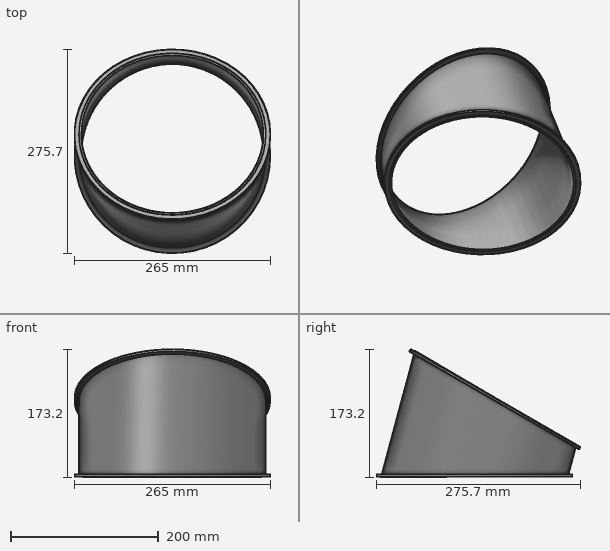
import cadquery as cq
import math

overall_depth = 275.7
flange_diameter = 265.0
flange_thickness = 3.5
tube_diameter = 252.5
wall = 3.3
bend_angle = 30.0
end_overtilt = 0.36

lean = bend_angle / 2
flange_radius = flange_diameter / 2
upper_y = overall_depth - flange_radius * (1 + math.cos(math.radians(bend_angle)))
upper_z = upper_y / math.tan(math.radians(lean))
axis_length = math.hypot(upper_y, upper_z)
stock_overrun = flange_diameter / 2


def plane_at(y, z, tilt):
    """Plane centred at (0, y, z) whose normal leans from +Z toward +Y by tilt degrees."""
    angle = math.radians(tilt)
    return cq.Plane(origin=(0, y, z), xDir=(1, 0, 0), normal=(0, math.sin(angle), math.cos(angle)))


base_plane = plane_at(0, 0, 0)
upper_plane = plane_at(upper_y, upper_z, bend_angle)


def leaning_cylinder(diameter):
    """Overlong elliptic cylinder that gives a circle where a flange plane cuts it."""
    start = plane_at(
        -stock_overrun * math.sin(math.radians(lean)),
        -stock_overrun * math.cos(math.radians(lean)),
        lean,
    )
    radius = diameter / 2
    profile = cq.Workplane(start).ellipse(radius, radius * math.cos(math.radians(lean)))
    return profile.extrude(axis_length + 2 * stock_overrun)


def trim_ends(stock):
    """Cut the stock to length at the two slightly overtilted end planes."""
    block = 2 * overall_depth
    below = cq.Workplane(plane_at(0, 0, -end_overtilt)).rect(block, block).extrude(-block)
    above_plane = plane_at(upper_y, upper_z, bend_angle + end_overtilt)
    above = cq.Workplane(above_plane).rect(block, block).extrude(block)
    return stock.cut(below).cut(above)


def flange(plane, thickness):
    """Disc with one face on the plane, bored to fit around the leaning tube."""
    disc = cq.Workplane(plane).circle(flange_radius).extrude(thickness)
    return disc.cut(leaning_cylinder(tube_diameter))


bore = leaning_cylinder(tube_diameter - 2 * wall)
tube = trim_ends(leaning_cylinder(tube_diameter).cut(bore))
base_flange = flange(base_plane, flange_thickness)
upper_flange = flange(upper_plane, -flange_thickness)

result = tube.union(base_flange).union(upper_flange)